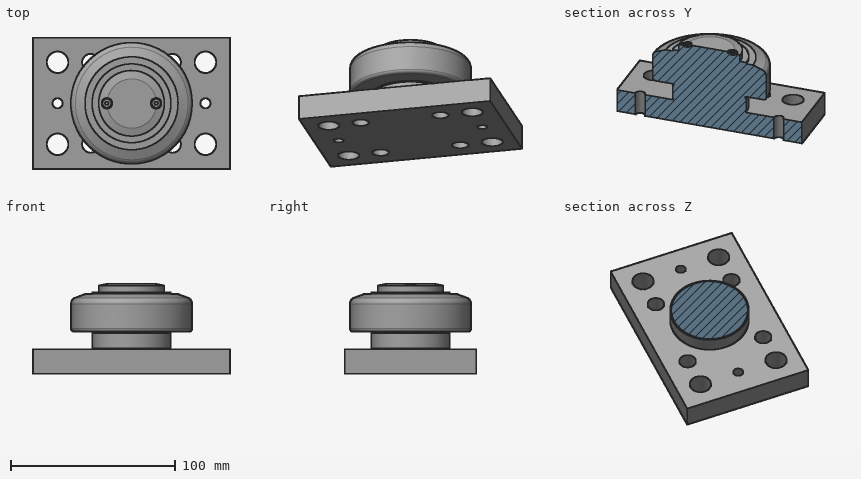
import cadquery as cq
import math

PLATE_LENGTH = 120.0
PLATE_WIDTH = 80.0
PLATE_THICKNESS = 15.0

HOLE_ROW_Y = 25.0
OUTER_HOLE_X = 45.0
INNER_HOLE_X = 25.0
CORNER_HOLE_DIAMETER = 13.0
INNER_HOLE_DIAMETER = 10.1
DOWEL_HOLE_DIAMETER = 6.0

NECK_TOP_Z = 24.7
ROLLER_BOTTOM_Z = 25.5
CONE_TOP_Z = 48.6
COLLAR_TOP_Z = 49.5
TOTAL_HEIGHT = 54.8

NECK_RADIUS = 24.0
NECK_CHAMFER = 0.6
SEAL_RADIUS = 23.4
ROLLER_RADIUS = 37.0
ROLLER_BOTTOM_ROUND = 2.0
SHOULDER_ROUND = 4.1
CONE_TOP_RADIUS = 28.3
CONE_ANGLE = math.radians(20.5)
CAP_RADIUS = 40.0 / 2
CAP_FACE_RADIUS = 15.0
CAP_BEVEL_HEIGHT = 1.1

SCREW_X = 15.0
BORE_DIAMETER = 6.5
BORE_DEPTH = 0.7
SCREW_HEAD_DIAMETER = 5.4
HEAD_DEPTH = 1.1
SOCKET_CORNER_DIAMETER = 2.3
SOCKET_DEPTH = 0.7


def make_plate():
    plate = cq.Workplane("XY").box(PLATE_LENGTH, PLATE_WIDTH, PLATE_THICKNESS, centered=(True, True, False))
    for row_x, diameter in ((OUTER_HOLE_X, CORNER_HOLE_DIAMETER), (INNER_HOLE_X, INNER_HOLE_DIAMETER)):
        plate = plate.faces(">Z").workplane(origin=(0, 0, 0))
        plate = plate.rect(2 * row_x, 2 * HOLE_ROW_Y, forConstruction=True).vertices().hole(diameter)
    plate = plate.faces(">Z").workplane(origin=(0, 0, 0))
    return plate.pushPoints([(-OUTER_HOLE_X, 0), (OUTER_HOLE_X, 0)]).hole(DOWEL_HOLE_DIAMETER)


def make_roller():
    """Revolve the neck, roller, collar and cap; the shoulder arc is tangent to the side and the cone."""
    shoulder_center_r = ROLLER_RADIUS - SHOULDER_ROUND
    cone_start_r = shoulder_center_r + SHOULDER_ROUND * math.sin(CONE_ANGLE)
    cone_start_z = CONE_TOP_Z - (cone_start_r - CONE_TOP_RADIUS) * math.tan(CONE_ANGLE)
    shoulder_z = cone_start_z - SHOULDER_ROUND * math.cos(CONE_ANGLE)
    arc_mid_angle = (math.pi / 2 - CONE_ANGLE) / 2
    shoulder_mid = (
        shoulder_center_r + SHOULDER_ROUND * math.cos(arc_mid_angle),
        shoulder_z + SHOULDER_ROUND * math.sin(arc_mid_angle),
    )
    profile = (
        cq.Workplane("XZ")
        .moveTo(0, PLATE_THICKNESS)
        .lineTo(NECK_RADIUS - NECK_CHAMFER, PLATE_THICKNESS)
        .lineTo(NECK_RADIUS, PLATE_THICKNESS + NECK_CHAMFER)
        .lineTo(NECK_RADIUS, NECK_TOP_Z)
        .lineTo(SEAL_RADIUS, NECK_TOP_Z)
        .lineTo(SEAL_RADIUS, ROLLER_BOTTOM_Z)
        .lineTo(ROLLER_RADIUS - ROLLER_BOTTOM_ROUND, ROLLER_BOTTOM_Z)
        .radiusArc((ROLLER_RADIUS, ROLLER_BOTTOM_Z + ROLLER_BOTTOM_ROUND), -ROLLER_BOTTOM_ROUND)
        .lineTo(ROLLER_RADIUS, shoulder_z)
        .threePointArc(shoulder_mid, (cone_start_r, cone_start_z))
        .lineTo(CONE_TOP_RADIUS, CONE_TOP_Z)
        .lineTo(NECK_RADIUS, CONE_TOP_Z)
        .lineTo(NECK_RADIUS, COLLAR_TOP_Z)
        .lineTo(CAP_RADIUS, COLLAR_TOP_Z)
        .lineTo(CAP_RADIUS, TOTAL_HEIGHT - CAP_BEVEL_HEIGHT)
        .lineTo(CAP_FACE_RADIUS, TOTAL_HEIGHT)
        .lineTo(0, TOTAL_HEIGHT)
        .close()
    )
    return profile.revolve(360, (0, 0, 0), (0, 1, 0))


def make_screw_recess(x):
    """Build the void above a screw head, together with its hexagon socket."""
    bore = cq.Workplane("XY", origin=(x, 0, TOTAL_HEIGHT)).circle(BORE_DIAMETER / 2).extrude(-BORE_DEPTH)
    seat = (
        cq.Workplane("XY", origin=(x, 0, TOTAL_HEIGHT - BORE_DEPTH))
        .circle(BORE_DIAMETER / 2)
        .workplane(offset=BORE_DEPTH - HEAD_DEPTH)
        .circle(SCREW_HEAD_DIAMETER / 2)
        .loft()
    )
    head_plane = cq.Workplane("XY", origin=(x, 0, TOTAL_HEIGHT - HEAD_DEPTH))
    socket = head_plane.polygon(6, SOCKET_CORNER_DIAMETER).extrude(-SOCKET_DEPTH)
    return bore.union(seat).union(socket)


result = make_plate().union(make_roller())
for screw_x in (-SCREW_X, SCREW_X):
    result = result.cut(make_screw_recess(screw_x))